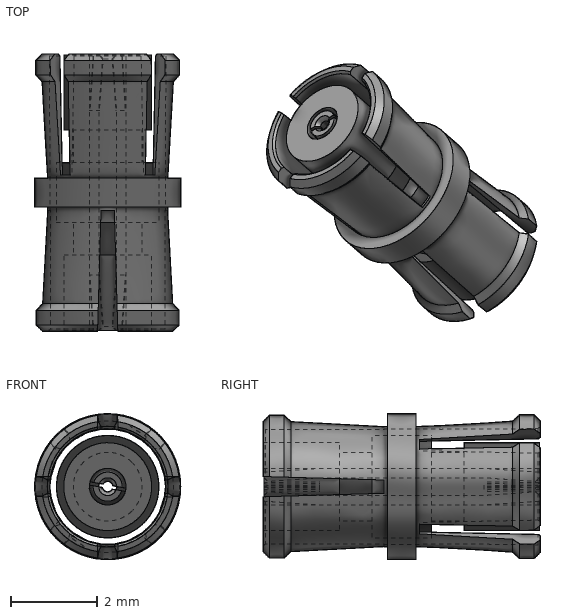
import cadquery as cq


shell_half_length = 3.225
collar_radius = 3.4 / 2
collar_half_width = 0.335
bore_radius = 2.68 / 2
bore_tip_radius = 1.355
neck_radius = 1.4
finger_end_radius = 1.53
lip_radius = 1.68
tip_chamfer = 0.15
lip_land = 0.335
lip_back_length = 0.16
mouth_chamfer = 0.05

finger_count = 4
shell_slot_root = 0.41
shell_slot_root_width = 0.31
shell_slot_tip_width = 0.47
slot_turn = {-1: 0.0, 1: 45.0}

insulator_half_length = 3.205
flange_radius = 2.385 / 2
flange_half_width = 0.695
waist_radius = 1.6 / 2
core_radius = 2.045 / 2
core_start = 1.45
contact_hole_radius = 0.85 / 2

contact_half_length = insulator_half_length
contact_tip_radius = 0.68 / 2
contact_bore_radius = 0.41 / 2
throat_radius = 0.24 / 2
throat_depth = 0.095
contact_finger_length = 1.29
contact_slot_width = 0.08
contact_slot_tilt = 10.0


def revolved(half_profile):
    """Mirror (radius, y) points running out along +Y about Y = 0 and revolve them about Y."""
    mirrored = [(radius, -y) for radius, y in reversed(half_profile)]
    return (
        cq.Workplane("XY")
        .polyline(half_profile + mirrored)
        .close()
        .revolve(360, (0, 0, 0), (0, 1, 0))
    )


def shell_slot(end, angle):
    """Tapered cutter that opens one slot at the end on the given side (-1 or +1) of Y = 0."""
    root_y = end * shell_slot_root
    tip_y = end * shell_half_length
    cutter = (
        cq.Workplane("XY")
        .polyline([
            (-shell_slot_root_width / 2, root_y),
            (shell_slot_root_width / 2, root_y),
            (shell_slot_tip_width / 2, tip_y),
            (-shell_slot_tip_width / 2, tip_y),
        ])
        .close()
        .extrude(collar_radius)
    )
    return cutter.rotate((0, 0, 0), (0, 1, 0), angle)


def make_shell():
    """Collared tube whose two ends are split into flared, lipped spring fingers."""
    lip_front = shell_half_length - tip_chamfer
    lip_back = lip_front - lip_land
    outline = revolved([
        (collar_radius, collar_half_width),
        (neck_radius, collar_half_width),
        (finger_end_radius, lip_back - lip_back_length),
        (lip_radius, lip_back),
        (lip_radius, lip_front),
        (lip_radius - tip_chamfer, shell_half_length),
        (bore_tip_radius + mouth_chamfer, shell_half_length),
        (bore_tip_radius, shell_half_length - mouth_chamfer),
        (bore_radius, collar_half_width),
    ])
    for end, turn in slot_turn.items():
        for index in range(finger_count):
            outline = outline.cut(shell_slot(end, turn + index * 360 / finger_count))
    return outline


def make_insulator():
    """Flanged dielectric with a waist and a cylindrical core on each side."""
    return revolved([
        (flange_radius, flange_half_width),
        (waist_radius, flange_half_width),
        (waist_radius, core_start),
        (core_radius, core_start),
        (core_radius, insulator_half_length),
        (contact_hole_radius, insulator_half_length),
    ])


def make_contact():
    """Tube whose split ends are pinched to a throat just behind a flared mouth."""
    finger_root = contact_half_length - contact_finger_length
    outline = revolved([
        (contact_hole_radius, finger_root),
        (contact_tip_radius, contact_half_length),
        (contact_bore_radius, contact_half_length),
        (throat_radius, contact_half_length - throat_depth),
        (contact_bore_radius, finger_root),
    ])
    for end in (-1, 1):
        slot = (
            cq.Workplane("XY")
            .box(2 * contact_hole_radius, contact_finger_length, contact_slot_width)
            .translate((0, end * (finger_root + contact_finger_length / 2), 0))
            .rotate((0, 0, 0), (0, 1, 0), contact_slot_tilt)
        )
        outline = outline.cut(slot)
    return outline


shell = make_shell()
insulator = make_insulator()
contact = make_contact()

result = cq.Compound.makeCompound([shell.val(), insulator.val(), contact.val()])